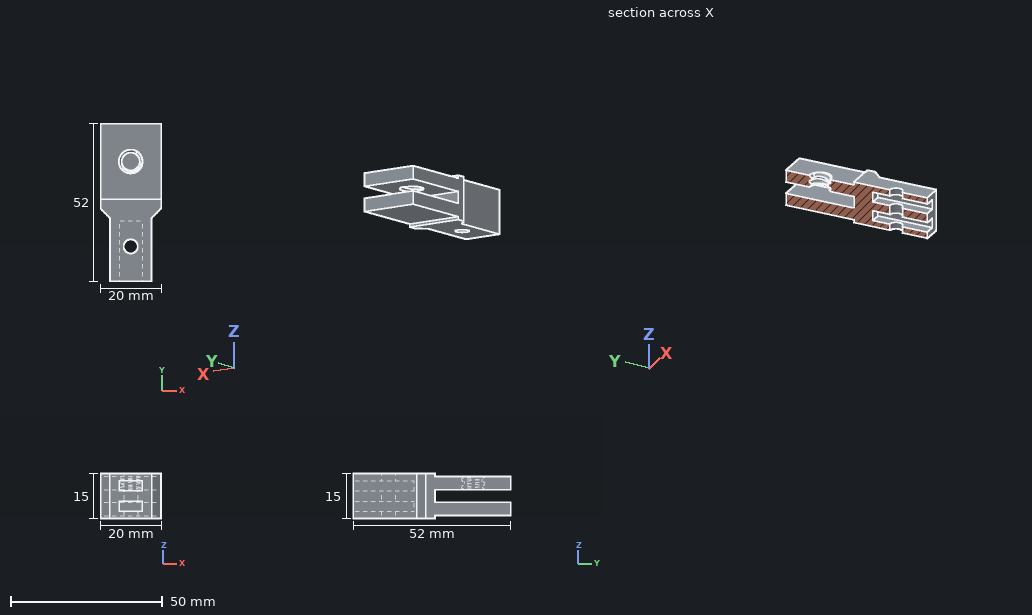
import cadquery as cq
import math

width = 20.0
length = 52.0
height = 15.0

prong_length = 25.0
shoulder_length = 3.0
side_step = 0.2
land_length = 0.12
taper = 3.0
left_x = -width / 2
right_x = width / 2
body_right_x = right_x - side_step
body_center_x = (left_x + body_right_x) / 2

prong_thickness = 4.5
prong_inset = 1.0

socket_width = 7.6
socket_height = 3.4
socket_spacing = 6.8
socket_depth = 20.0

pin_diameter = 4.6
pin_from_front = 11.5

countersink_radius = 3.95
crest_radius = 2.95
flank_radius = 3.55
root_radius = 3.85
thread_pitch = 2.5
root_height = 0.85
flank_angle = 30.0
groove_overlap = 0.3
thread_turns = 2
thread_from_tip = 12.5
thread_end_angle = 58.0
thread_end_drop = 0.05

front_y = -length / 2
tip_y = length / 2
shoulder_y = tip_y - prong_length
land_y = shoulder_y - shoulder_length
taper_start_y = land_y - land_length
taper_end_y = taper_start_y - taper
prong_top_z = height / 2 - prong_inset
prong_bottom_z = prong_top_z - prong_thickness


def make_body():
    """Socket body that widens through a taper to the full-width shoulder."""
    outline = [
        (left_x + taper, front_y),
        (body_right_x - taper, front_y),
        (body_right_x - taper, taper_end_y),
        (body_right_x, taper_start_y),
        (body_right_x, land_y),
        (right_x, land_y),
        (right_x, shoulder_y),
        (left_x, shoulder_y),
        (left_x, taper_start_y),
        (left_x + taper, taper_end_y),
    ]
    return cq.Workplane("XY").workplane(offset=-height / 2).polyline(outline).close().extrude(height)


def make_prong(side):
    """Flat prong above (side = 1) or below (side = -1) the central gap."""
    center_z = side * (prong_bottom_z + prong_top_z) / 2
    center_y = shoulder_y + prong_length / 2
    return cq.Workplane("XY").box(width, prong_length, prong_thickness).translate((0, center_y, center_z))


def make_socket(side):
    """Blind rectangular pocket opening on the front face."""
    center = (body_center_x, front_y + socket_depth / 2, side * socket_spacing / 2)
    return cq.Workplane("XY").box(socket_width, socket_depth, socket_height).translate(center)


def make_pin_hole():
    """Round hole through the full height of the socket body."""
    base = cq.Workplane("XY").workplane(offset=-height / 2)
    return base.center(body_center_x, front_y + pin_from_front).circle(pin_diameter / 2).extrude(height)


def make_drilled_core():
    """Drilled hole with a 45 degree countersink on each face, on the Z axis."""
    sink_depth = countersink_radius - crest_radius
    outline = [
        (0, prong_bottom_z),
        (countersink_radius, prong_bottom_z),
        (crest_radius, prong_bottom_z + sink_depth),
        (crest_radius, prong_top_z - sink_depth),
        (countersink_radius, prong_top_z),
        (0, prong_top_z),
    ]
    return cq.Workplane("XZ").polyline(outline).close().revolve(360, (0, 0, 0), (0, 1, 0))


def make_thread_groove():
    """Right-hand groove with straight flanks and a round root, ending just below the prong top."""
    rise = thread_turns * thread_pitch
    inner_radius = crest_radius - groove_overlap
    root_half = root_height / 2
    inner_half = root_half + (flank_radius - inner_radius) * math.tan(math.radians(flank_angle))
    profile = (
        cq.Workplane("XZ")
        .moveTo(inner_radius, -inner_half)
        .lineTo(flank_radius, -root_half)
        .threePointArc((root_radius, 0), (flank_radius, root_half))
        .lineTo(inner_radius, inner_half)
        .close()
    )
    helix = cq.Workplane(cq.Wire.makeHelix(thread_pitch, rise, crest_radius))
    groove = profile.sweep(helix, isFrenet=True)
    start_z = prong_top_z - thread_end_drop - rise
    return groove.rotate((0, 0, 0), (0, 0, 1), thread_end_angle).translate((0, 0, start_z))


def make_threaded_hole():
    """Countersunk core plus thread groove, kept within the thickness of the prong."""
    slab = cq.Workplane("XY").workplane(offset=prong_bottom_z).rect(width, width).extrude(prong_thickness)
    groove = make_thread_groove().intersect(slab)
    hole = make_drilled_core().union(groove)
    return hole.translate((body_center_x, tip_y - thread_from_tip, 0))


result = make_body()
for side in (1, -1):
    result = result.union(make_prong(side)).cut(make_socket(side))
result = result.cut(make_pin_hole()).cut(make_threaded_hole())